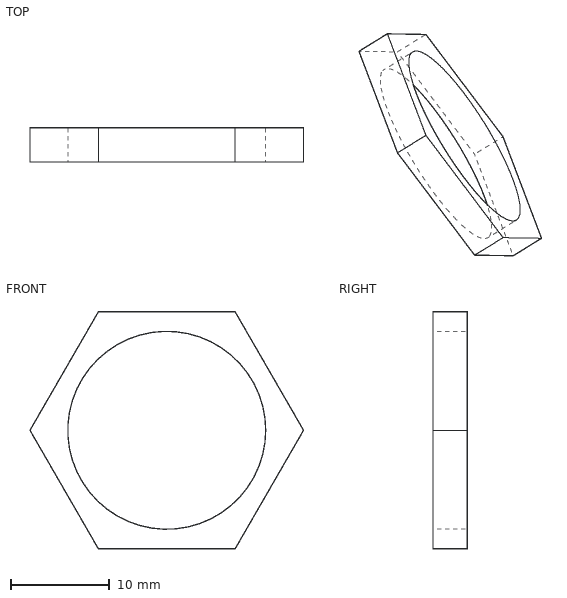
import cadquery as cq

across_corners = 27.7
thickness = 3.5
bore_diameter = 20.0

result = (
    cq.Workplane("XZ")
    .polygon(6, across_corners)
    .circle(bore_diameter / 2)
    .extrude(thickness / 2, both=True)
)